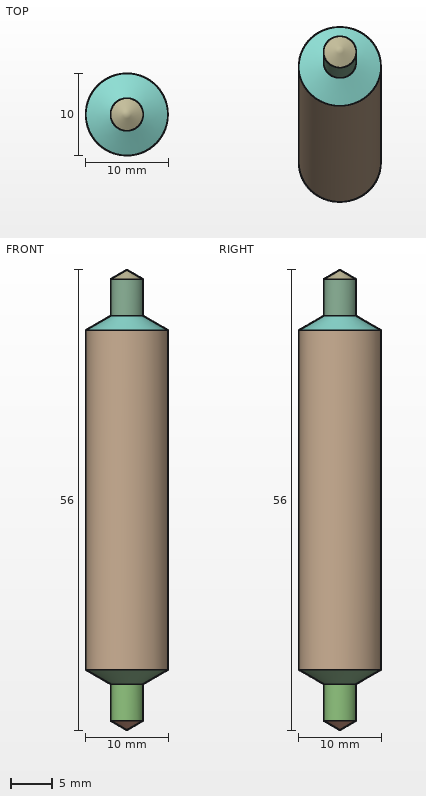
import cadquery as cq
import math

total_length = 56.0
barrel_diameter = 10.0
pin_diameter = 4.0
pin_projection = 5.6
cone_slope = math.radians(30)

barrel_radius = barrel_diameter / 2
pin_radius = pin_diameter / 2
barrel_half_length = total_length / 2 - pin_projection
shoulder_height = (barrel_radius - pin_radius) * math.tan(cone_slope)
tip_height = pin_radius * math.tan(cone_slope)


def make_barrel():
    """Round barrel whose conical ends narrow to the pin diameter."""
    side_half_length = barrel_half_length - shoulder_height
    return (
        cq.Workplane("XZ")
        .moveTo(0, -barrel_half_length)
        .lineTo(pin_radius, -barrel_half_length)
        .lineTo(barrel_radius, -side_half_length)
        .lineTo(barrel_radius, side_half_length)
        .lineTo(pin_radius, barrel_half_length)
        .lineTo(0, barrel_half_length)
        .close()
        .revolve(360, (0, 0), (0, 1))
    )


def make_pin(direction):
    """Pointed pin standing on a barrel end: direction is 1 for the top, -1 for the bottom."""
    base_z = direction * barrel_half_length
    tip_z = direction * total_length / 2
    tip_base_z = tip_z - direction * tip_height
    return (
        cq.Workplane("XZ")
        .moveTo(0, base_z)
        .lineTo(pin_radius, base_z)
        .lineTo(pin_radius, tip_base_z)
        .lineTo(0, tip_z)
        .close()
        .revolve(360, (0, 0), (0, 1))
    )


barrel = make_barrel()
pins = [make_pin(direction) for direction in (1, -1)]

result = cq.Compound.makeCompound([barrel.val(), *[pin.val() for pin in pins]])